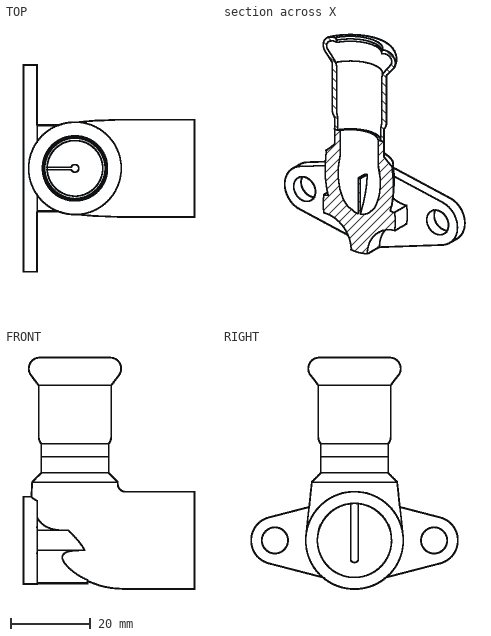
import cadquery as cq
import math


flange_back_x = -12.95
flange_thickness = 3.45
flange_front_x = flange_back_x + flange_thickness
flange_centre_radius = 11.0
flange_end_radius = 6.0
flange_hole_diameter = 6.5
flange_hole_spacing = 40.0

boss_radius = 10.95
boss_arm_half_width = 2.5
boss_end_x = 3.2
boss_arm_reach = math.sqrt(boss_radius**2 - boss_arm_half_width**2)
boss_hollow_radius = boss_arm_reach - boss_arm_half_width

bend_start_z = 14.15
bend_end_x = 12.7
bend_section_count = 5
elbow_top_radius = 21.6 / 2
outlet_radius = 24.5 / 2
outlet_end_x = 30.05
collar_height = 0.5
neck_radius = 17.0 / 2
neck_start_z = bend_start_z + collar_height + elbow_top_radius - neck_radius
joint_z = 21.1
neck_bore_radius = 14.0 / 2
outlet_bore_radius = 18.65 / 2

post_diameter = 1.9
rib_thickness = 0.65
post_top_z = 9.3

overall_height = 58.25
socket_top_z = overall_height - outlet_radius
socket_radius = 18.3 / 2
socket_bore_radius = 15.8 / 2
socket_foot_bore_radius = 15.2 / 2
foot_bulge = 0.2
socket_bottom_z = 25.9
socket_foot_z = 24.3
bead_start_z = 38.95
bead_cone_top_z = 41.65
bead_arc_radius = 2.8
bead_centre_radius = 8.85
bead_centre_z = socket_top_z - bead_arc_radius
lip_chamfer_radius = 0.3
lip_chamfer_depth = 0.6
lip_depth = 1.2
groove_arc_radius = 1.7
groove_cone_top_z = 42.5
groove_foot_z = 38.45
groove_foot_radius = 8.1
groove_foot_rise = 0.9


def radial_offset(arc_radius, height):
    """Half chord of a circle at the given height from its centre."""
    return math.sqrt(arc_radius**2 - height**2)


def bend(start_radius, end_radius):
    """Quarter bend around the inner corner, growing from start to end radius."""
    sections = []
    for index in range(bend_section_count):
        angle = math.pi / 2 * index / (bend_section_count - 1)
        radius = start_radius + (end_radius - start_radius) * math.sin(angle)
        spine = bend_end_x + (bend_start_z - bend_end_x) * math.sin(angle)
        centre = cq.Vector(
            bend_end_x - spine * math.cos(angle), 0, bend_start_z - spine * math.sin(angle)
        )
        inner_direction = cq.Vector(math.cos(angle), 0, math.sin(angle))
        direction = cq.Vector(math.sin(angle), 0, -math.cos(angle))
        circle = cq.Workplane(cq.Plane(centre, inner_direction, direction)).circle(radius)
        sections.append(circle.val())
    return cq.Workplane(obj=cq.Solid.makeLoft(sections))


def tube_x(radius, start_x, end_x):
    return cq.Workplane("YZ", origin=(start_x, 0, 0)).circle(radius).extrude(end_x - start_x)


def make_flange():
    half_spacing = flange_hole_spacing / 2
    lean_sin = (flange_centre_radius - flange_end_radius) / half_spacing
    lean_cos = math.sqrt(1 - lean_sin**2)
    centre_y = flange_centre_radius * lean_sin
    centre_z = flange_centre_radius * lean_cos
    end_y = half_spacing + flange_end_radius * lean_sin
    end_z = flange_end_radius * lean_cos
    tip_y = half_spacing + flange_end_radius
    return (
        cq.Workplane("YZ", origin=(flange_back_x, 0, 0))
        .moveTo(-centre_y, centre_z)
        .threePointArc((0, flange_centre_radius), (centre_y, centre_z))
        .lineTo(end_y, end_z)
        .threePointArc((tip_y, 0), (end_y, -end_z))
        .lineTo(centre_y, -centre_z)
        .threePointArc((0, -flange_centre_radius), (-centre_y, -centre_z))
        .lineTo(-end_y, -end_z)
        .threePointArc((-tip_y, 0), (-end_y, end_z))
        .close()
        .extrude(flange_thickness)
        .faces("<X")
        .workplane(origin=(flange_back_x, 0, 0))
        .pushPoints([(-half_spacing, 0), (half_spacing, 0)])
        .hole(flange_hole_diameter)
    )


def make_boss():
    """Round boss hollowed by four quarter-round flutes, leaving a cross."""
    boss = tube_x(boss_radius, flange_front_x, boss_end_x)
    flutes = (
        cq.Workplane("YZ", origin=(flange_front_x, 0, 0))
        .rect(2 * boss_arm_reach, 2 * boss_arm_reach, forConstruction=True)
        .vertices()
        .circle(boss_hollow_radius)
        .extrude(boss_end_x - flange_front_x)
    )
    return boss.cut(flutes)


def make_neck():
    """Collar, cone and neck above the bend."""
    return (
        cq.Workplane("XZ")
        .moveTo(0, bend_start_z)
        .lineTo(elbow_top_radius, bend_start_z)
        .lineTo(elbow_top_radius, bend_start_z + collar_height)
        .lineTo(neck_radius, neck_start_z)
        .lineTo(neck_radius, joint_z)
        .lineTo(0, joint_z)
        .close()
        .revolve(360, (0, 0), (0, 1))
    )


def make_post(outer_bend):
    """Flat-topped post standing in the passage, with a rib to the back wall."""
    height = post_top_z + outlet_radius
    post = cq.Workplane("XY", origin=(0, 0, -outlet_radius)).circle(post_diameter / 2).extrude(height)
    rib = (
        cq.Workplane("XY", origin=(-elbow_top_radius / 2, 0, -outlet_radius))
        .rect(elbow_top_radius, rib_thickness)
        .extrude(height)
    )
    return post.union(rib).intersect(outer_bend)


def make_elbow():
    outer_bend = bend(elbow_top_radius, outlet_radius)
    neck_bore = (
        cq.Workplane("XY", origin=(0, 0, bend_start_z))
        .circle(neck_bore_radius)
        .extrude(joint_z - bend_start_z)
    )
    return (
        outer_bend.union(tube_x(outlet_radius, bend_end_x, outlet_end_x))
        .union(make_neck())
        .union(make_boss())
        .union(make_flange())
        .cut(bend(neck_bore_radius, outlet_bore_radius))
        .cut(tube_x(outlet_bore_radius, bend_end_x, outlet_end_x))
        .cut(neck_bore)
        .union(make_post(outer_bend))
    )


def make_press_socket():
    bead_cone_top_radius = bead_centre_radius + radial_offset(
        bead_arc_radius, bead_centre_z - bead_cone_top_z
    )
    groove_cone_top_radius = bead_centre_radius + radial_offset(
        groove_arc_radius, bead_centre_z - groove_cone_top_z
    )
    foot_middle_z = (socket_foot_z + socket_bottom_z) / 2
    lip_bottom_z = socket_top_z - lip_depth
    return (
        cq.Workplane("XZ")
        .moveTo(socket_foot_bore_radius, joint_z)
        .lineTo(neck_radius, joint_z)
        .lineTo(neck_radius, socket_foot_z)
        .threePointArc(
            (socket_radius - foot_bulge, foot_middle_z), (socket_radius, socket_bottom_z)
        )
        .lineTo(socket_radius, bead_start_z)
        .lineTo(bead_cone_top_radius, bead_cone_top_z)
        .threePointArc(
            (bead_centre_radius + bead_arc_radius, bead_centre_z), (bead_centre_radius, socket_top_z)
        )
        .lineTo(socket_bore_radius + lip_chamfer_radius, socket_top_z)
        .lineTo(socket_bore_radius, socket_top_z - lip_chamfer_depth)
        .lineTo(socket_bore_radius, lip_bottom_z)
        .lineTo(bead_centre_radius, bead_centre_z + groove_arc_radius)
        .threePointArc(
            (bead_centre_radius + groove_arc_radius, bead_centre_z),
            (groove_cone_top_radius, groove_cone_top_z),
        )
        .lineTo(groove_foot_radius, groove_foot_z + groove_foot_rise)
        .lineTo(socket_bore_radius, groove_foot_z)
        .lineTo(socket_bore_radius, socket_bottom_z)
        .threePointArc(
            (socket_bore_radius - foot_bulge, foot_middle_z), (socket_foot_bore_radius, socket_foot_z)
        )
        .close()
        .revolve(360, (0, 0), (0, 1))
    )


elbow = make_elbow()
press_socket = make_press_socket()
result = cq.Compound.makeCompound([elbow.val(), press_socket.val()])